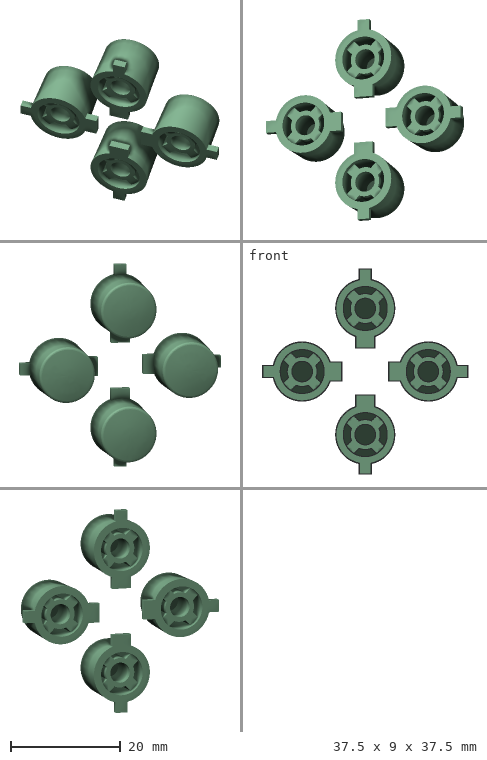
import cadquery as cq

BUTTON_COUNT = 4
OVERALL_SPAN = 37.5
HEIGHT = 9.0

BASE_RADIUS = 5.4
TOP_RADIUS = 5.18
DOME_RISE = 0.5
RIM_FILLET = 0.5

TAB_THICKNESS = 1.28
TAB_REACH = 7.25
OUTER_TAB_WIDTH = 2.2
INNER_TAB_WIDTH = 3.52

RECESS_RADIUS = 4.0
RIB_SETBACK = 1.0
HUB_RADIUS = 2.75
BORE_RADIUS = 1.88
RIB_WIDTH = 2.0
RIB_ANGLES = (45, 135)

BUTTON_OFFSET = OVERALL_SPAN / 2 - TAB_REACH
SHOULDER_HEIGHT = HEIGHT - DOME_RISE
ROOF_THICKNESS = BASE_RADIUS - RECESS_RADIUS
HOLLOW_DEPTH = HEIGHT - ROOF_THICKNESS
RIB_DEPTH = HOLLOW_DEPTH - RIB_SETBACK


def make_shell():
    """Tapered solid of revolution about Z with a domed top and rounded rim."""
    mid_radius = TOP_RADIUS / 2
    mid_height = HEIGHT - DOME_RISE / 4
    return (
        cq.Workplane("XZ")
        .lineTo(BASE_RADIUS, 0)
        .lineTo(TOP_RADIUS, SHOULDER_HEIGHT)
        .threePointArc((mid_radius, mid_height), (0, HEIGHT))
        .close()
        .revolve(360, (0, 0, 0), (0, 1, 0))
        .faces(">Z")
        .edges("<Z")
        .fillet(RIM_FILLET)
    )


def make_tab(width, direction):
    """Flat tab from the axis out to the tab reach, along +X or -X."""
    return (
        cq.Workplane("XY")
        .center(direction * TAB_REACH / 2, 0)
        .rect(TAB_REACH, width)
        .extrude(TAB_THICKNESS)
    )


def make_hollow():
    """Space cut from the underside, leaving the hub and its ribs."""
    web = cq.Workplane("XY").workplane(offset=RIB_SETBACK).circle(HUB_RADIUS).extrude(RIB_DEPTH)
    for angle in RIB_ANGLES:
        rib = (
            cq.Workplane("XY")
            .workplane(offset=RIB_SETBACK)
            .rect(2 * BASE_RADIUS, RIB_WIDTH)
            .extrude(RIB_DEPTH)
            .rotate((0, 0, 0), (0, 0, 1), angle)
        )
        web = web.union(rib)
    bore = cq.Workplane("XY").circle(BORE_RADIUS).extrude(HOLLOW_DEPTH)
    return cq.Workplane("XY").circle(RECESS_RADIUS).extrude(HOLLOW_DEPTH).cut(web).union(bore)


def make_button():
    """Button in its place on the +X arm of the cross, crown toward +Y."""
    return (
        make_shell()
        .union(make_tab(OUTER_TAB_WIDTH, 1))
        .union(make_tab(INNER_TAB_WIDTH, -1))
        .cut(make_hollow())
        .rotate((0, 0, 0), (1, 0, 0), -90)
        .translate((BUTTON_OFFSET, 0, 0))
    )


buttons = []
for index in range(BUTTON_COUNT):
    turn = index * 360 / BUTTON_COUNT
    buttons.append(make_button().rotate((0, 0, 0), (0, 1, 0), turn))

result = cq.Compound.makeCompound([button.val() for button in buttons])